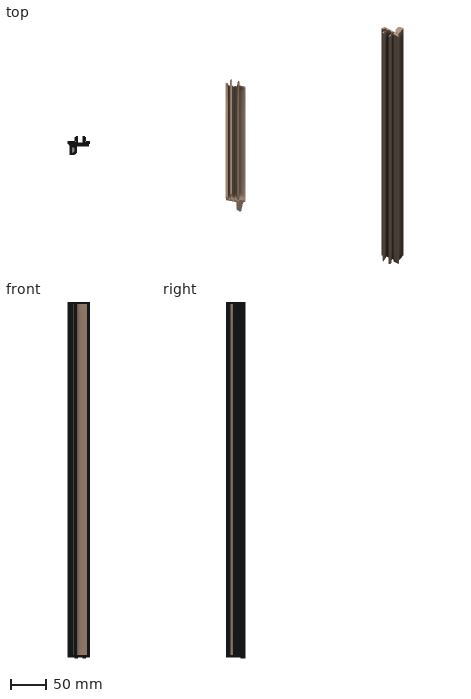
import cadquery as cq

length = 500.0
width = 29.0
depth = 24.0

leg_overhang = 1.5

flange_top = -7.0
flange_edge = -8.0
flange_root = -10.5
lip_edge = -8.5
plate_top = -10.0
plate_bottom = -11.5

flange_right = 8.5
flange_slope = 1.5
lip_width = 3.5
lip_step = 1.5
lip_radius = 0.7

block_left = 3.0
block_flat_right = 6.0
block_right = 10.5
block_neck = 9.0
block_bevel = 1.5
slit_width = 0.5
slit_top = -10.5
slit_bottom = -13.0

leg_centers = (12.0, 21.5)
leg_thickness = 0.5
barb_reach = 1.5
barb_top = -1.5
barb_bottom = -4.0
foot_length = 3.0
foot_top = -9.0


def extrude_section(outline, start):
    """Extrude a closed outline from height start to the upper end."""
    base = cq.Workplane("XY").workplane(offset=start)
    return base.polyline(outline).close().extrude(length - start)


def make_carrier():
    """Flanged plate with the hanging block, as one constant section."""
    shoulder = flange_right + flange_slope
    lip_left = width - lip_width
    shoulder_bottom = plate_bottom - block_bevel
    block_top = shoulder_bottom - block_bevel
    outline = [
        (0, flange_top),
        (flange_right, flange_top),
        (shoulder, plate_top),
        (lip_left - lip_step, plate_top),
        (lip_left, flange_top),
        (width, flange_top),
        (width, lip_edge),
        (width - lip_step, lip_edge),
        (width - lip_step, plate_bottom),
        (block_neck, plate_bottom),
        (block_neck, shoulder_bottom),
        (block_right, block_top),
        (block_right, -depth + 2 * block_bevel),
        (block_right - block_bevel, -depth + block_bevel),
        (block_flat_right, -depth),
        (block_left, -depth),
        (block_left, flange_root),
        (0, flange_edge),
    ]
    carrier = extrude_section(outline, leg_overhang)
    return carrier.edges("|Z and >X").fillet(lip_radius)


def make_slit():
    """Narrow channel through the strip beside the root of the left flange."""
    outline = [
        (block_flat_right, slit_top),
        (block_flat_right + slit_width, slit_top),
        (block_flat_right + slit_width, slit_bottom),
        (block_flat_right, slit_bottom),
    ]
    return extrude_section(outline, leg_overhang)


def make_clip_leg(center, outward):
    """Leg with a full-length outward barb and a shorter shank with an inward foot."""
    outer = center + outward * leg_thickness / 2
    inner = center - outward * leg_thickness / 2
    barb_tip = outer + outward * barb_reach
    foot_tip = inner - outward * foot_length
    tip = [
        (inner, 0),
        (outer, 0),
        (barb_tip, barb_top),
        (barb_tip, barb_bottom),
        (outer, barb_bottom),
        (inner, barb_bottom),
    ]
    shank = [
        (inner, barb_bottom),
        (outer, barb_bottom),
        (outer, plate_top),
        (foot_tip, plate_top),
        (foot_tip, foot_top),
        (inner, foot_top),
    ]
    return extrude_section(tip, 0).union(extrude_section(shank, leg_overhang))


result = make_carrier().cut(make_slit())
for leg_center, outward_side in zip(leg_centers, (-1, 1)):
    result = result.union(make_clip_leg(leg_center, outward_side))